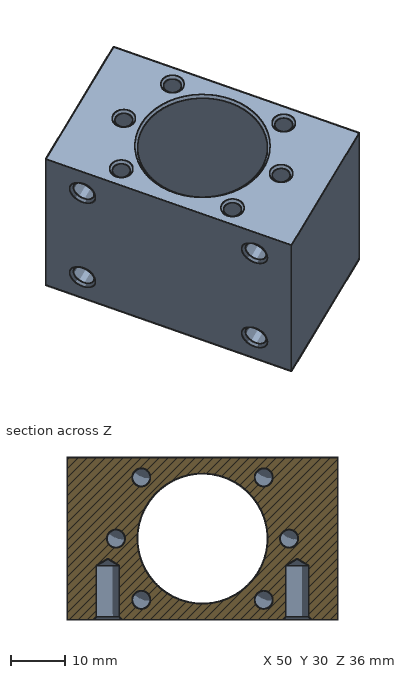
import cadquery as cq
import math

length = 50.0
width = 30.0
height = 36.0

bore_diameter = 24.0
bore_mouth_diameter = 25.0
bore_chamfer = (bore_mouth_diameter - bore_diameter) / 2

top_circle_radius = 16.0
top_hole_angles = (0, 45, 135, 180, 225, 315)
top_hole_diameter = 3.3
top_hole_mouth = 4.3
top_hole_depth = 10.0

front_spacing_x = 35.0
front_spacing_z = 24.0
front_hole_diameter = 4.2
front_hole_mouth = 5.25
front_hole_depth = 10.0

drill_point_angle = 118.0


def drilled_hole(diameter, mouth_diameter, depth):
    """Cutter along -Z from the origin: 45 degree mouth, straight wall, drill point."""
    radius = diameter / 2
    mouth_radius = mouth_diameter / 2
    mouth_depth = mouth_radius - radius
    point_length = radius / math.tan(math.radians(drill_point_angle / 2))
    profile = (
        cq.Workplane("XZ")
        .lineTo(mouth_radius, 0)
        .lineTo(radius, -mouth_depth)
        .lineTo(radius, -depth)
        .lineTo(0, -depth - point_length)
        .close()
    )
    return profile.revolve(360, (0, 0, 0), (0, 1, 0))


result = cq.Workplane("XY").box(length, width, height)
result = result.faces(">Z").workplane().hole(bore_diameter)
result = result.edges("%CIRCLE").chamfer(bore_chamfer)

top_cutter = drilled_hole(top_hole_diameter, top_hole_mouth, top_hole_depth)
for angle in top_hole_angles:
    x = top_circle_radius * math.cos(math.radians(angle))
    y = top_circle_radius * math.sin(math.radians(angle))
    result = result.cut(top_cutter.translate((x, y, height / 2)))

front_cutter = drilled_hole(front_hole_diameter, front_hole_mouth, front_hole_depth)
front_cutter = front_cutter.rotate((0, 0, 0), (1, 0, 0), 90)
for x in (-front_spacing_x / 2, front_spacing_x / 2):
    for z in (-front_spacing_z / 2, front_spacing_z / 2):
        result = result.cut(front_cutter.translate((x, -width / 2, z)))